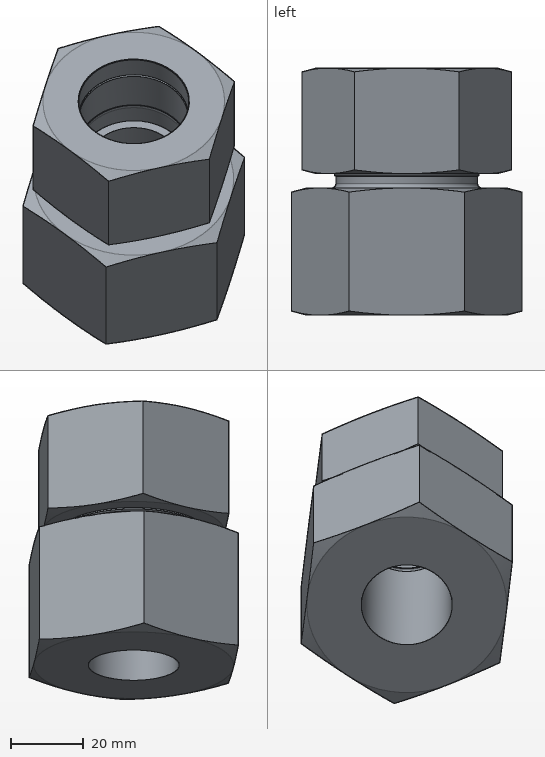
import cadquery as cq
import math

body_hex_height = 35.0
nut_bottom = 38.95
total_height = 68.0

body_across_flats = 55.0
nut_across_flats = 50.0
corner_chamfer_angle = 15.0

neck_diameter = 39.0
spigot_diameter = 39.85
neck_fillet = 1.2
neck_top = 38.15
spigot_top = 57.8

through_bore_diameter = 25.0
tube_diameter = 30.0
nut_hole_diameter = 30.25
nut_rim_chamfer = 0.17
socket_floor = 42.15
seat_start = 47.75

ring_diameter = 36.0
ring_bottom = 48.7
ring_top = 61.0
ring_clearance = 0.55
seat_half_angle = 12.0


def cylinder(diameter, bottom, top):
    """Vertical cylinder on the common axis."""
    return cq.Workplane("XY").workplane(offset=bottom).circle(diameter / 2).extrude(top - bottom)


def chamfered_hexagon(across_flats, bottom, top):
    """Hexagonal prism whose corners are turned down conically at both ends."""
    corner_diameter = across_flats / math.cos(math.radians(30))
    flat_radius = across_flats / 2
    corner_radius = corner_diameter / 2
    drop = (corner_radius - flat_radius) * math.tan(math.radians(corner_chamfer_angle))
    prism = (
        cq.Workplane("XY")
        .workplane(offset=bottom)
        .transformed(rotate=(0, 0, 30))
        .polygon(6, corner_diameter)
        .extrude(top - bottom)
    )
    turned_envelope = (
        cq.Workplane("XZ")
        .moveTo(0, bottom)
        .lineTo(flat_radius, bottom)
        .lineTo(corner_radius, bottom + drop)
        .lineTo(corner_radius, top - drop)
        .lineTo(flat_radius, top)
        .lineTo(0, top)
        .close()
        .revolve(360, (0, 0, 0), (0, 1, 0))
    )
    return prism.intersect(turned_envelope)


def make_spigot():
    """Filleted neck that widens through a 45 degree cone into the male spigot."""
    neck_radius = neck_diameter / 2
    spigot_radius = spigot_diameter / 2
    fillet_reach = neck_fillet * math.sqrt(0.5)
    return (
        cq.Workplane("XZ")
        .moveTo(0, body_hex_height)
        .lineTo(neck_radius + neck_fillet, body_hex_height)
        .threePointArc(
            (neck_radius + neck_fillet - fillet_reach, body_hex_height + neck_fillet - fillet_reach),
            (neck_radius, body_hex_height + neck_fillet),
        )
        .lineTo(neck_radius, neck_top)
        .lineTo(spigot_radius, neck_top + spigot_radius - neck_radius)
        .lineTo(spigot_radius, spigot_top)
        .lineTo(0, spigot_top)
        .close()
        .revolve(360, (0, 0, 0), (0, 1, 0))
    )


def seat_cone():
    """Volume of the conical seat, widening upwards from the tube socket to the ring diameter."""
    tube_radius = tube_diameter / 2
    ring_radius = ring_diameter / 2
    cone_height = (ring_radius - tube_radius) / math.tan(math.radians(seat_half_angle))
    return (
        cq.Workplane("XZ")
        .moveTo(0, seat_start)
        .lineTo(tube_radius, seat_start)
        .lineTo(ring_radius, seat_start + cone_height)
        .lineTo(ring_radius, total_height)
        .lineTo(0, total_height)
        .close()
        .revolve(360, (0, 0, 0), (0, 1, 0))
    )


def make_ring():
    """Sealing ring around the tube, tapered to bed in the body's conical seat."""
    ring = cylinder(ring_diameter, ring_bottom, ring_top).intersect(seat_cone())
    return ring.cut(cylinder(tube_diameter, ring_bottom, ring_top))


def make_body():
    """Hexagonal body with spigot, through bore, tube socket and ring seat."""
    body = chamfered_hexagon(body_across_flats, 0, body_hex_height).union(make_spigot())
    body = body.cut(cylinder(through_bore_diameter, 0, total_height))
    body = body.cut(cylinder(tube_diameter, socket_floor, total_height))
    return body.cut(seat_cone())


def make_nut():
    """Union nut over the spigot and the ring, with a small gap above the ring."""
    nut = chamfered_hexagon(nut_across_flats, nut_bottom, total_height)
    nut = nut.cut(cylinder(nut_hole_diameter, nut_bottom, total_height))
    hole_rim = nut.faces(">Z").edges("%CIRCLE").edges(cq.selectors.RadiusNthSelector(0))
    nut = hole_rim.chamfer(nut_rim_chamfer)
    nut = nut.cut(cylinder(ring_diameter, nut_bottom, ring_top + ring_clearance))
    return nut.cut(cylinder(spigot_diameter, nut_bottom, spigot_top))


body = make_body()
ring = make_ring()
nut = make_nut()

result = cq.Compound.makeCompound([body.val(), ring.val(), nut.val()])